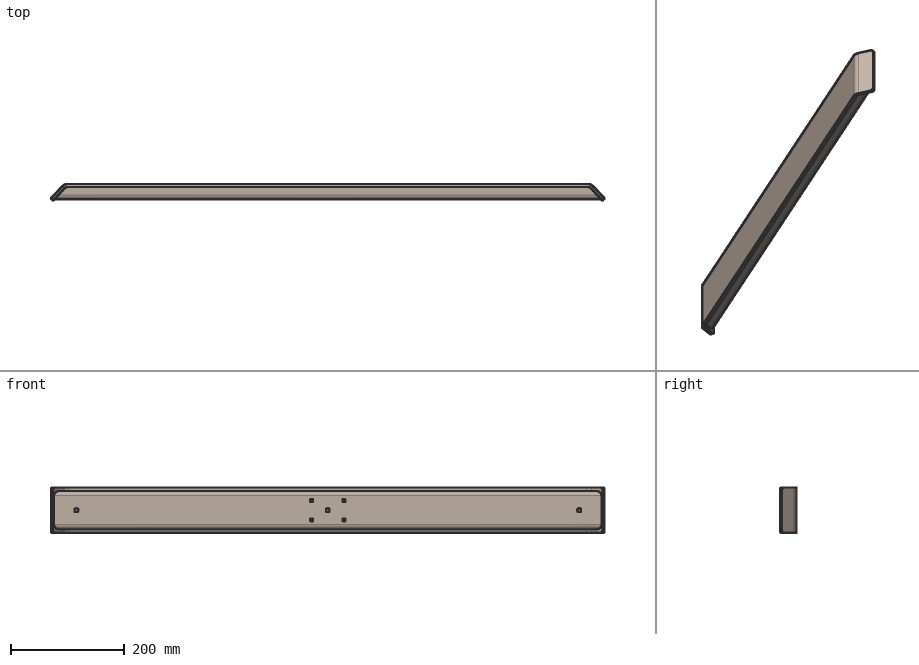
import cadquery as cq
import math

LENGTH = 975.0
DEPTH = 29.68
HEIGHT = 80.0

SHEET = 5.5
BEND_ANGLE = 47.0
BEND_INNER_RADIUS = 10.0
TIP_CORNER_RADIUS = 5.0

BAR_HEIGHT = 67.0
BAR_FRONT_FILLET = 8.0
TIP_OVERHANG = 2.1

END_HOLE_DIAMETER = 7.0
END_HOLE_SPACING = 885.0
CENTRE_HOLE_DIAMETER = 7.0
CORNER_HOLE_DIAMETER = 5.5
CORNER_HOLE_SPACING_X = 57.0
CORNER_HOLE_SPACING_Z = 34.0
HOLE_DEPTH = 10.0

back_y = DEPTH / 2
tip_y = -DEPTH / 2
plate_front_y = back_y - SHEET
bar_front_y = tip_y + TIP_OVERHANG

bend = math.radians(BEND_ANGLE)
outer_tip_x = LENGTH / 2
inner_tip_x = outer_tip_x - SHEET * math.sin(bend)
outer_tip_y = tip_y + SHEET * math.cos(bend)
outer_bend_x = outer_tip_x - (back_y - outer_tip_y) / math.tan(bend)
inner_bend_x = inner_tip_x - (plate_front_y - tip_y) / math.tan(bend)


def make_tray():
    """Plate with both ends bent forward, rounded at the bends and at the tip corners."""
    right_side = [
        (inner_bend_x, plate_front_y),
        (inner_tip_x, tip_y),
        (outer_tip_x, outer_tip_y),
        (outer_bend_x, back_y),
    ]
    left_side = [(-x, y) for x, y in reversed(right_side)]
    outline = cq.Workplane("XY").polyline(right_side + left_side).close()
    tray = outline.extrude(HEIGHT / 2, both=True)
    for side in (-1, 1):
        inner_bend = cq.selectors.NearestToPointSelector((side * inner_bend_x, plate_front_y, 0))
        tray = tray.edges("|Z").edges(inner_bend).fillet(BEND_INNER_RADIUS)
        outer_bend = cq.selectors.NearestToPointSelector((side * outer_bend_x, back_y, 0))
        tray = tray.edges("|Z").edges(outer_bend).fillet(BEND_INNER_RADIUS + SHEET)
        for end in (-1, 1):
            tip_centre = (
                side * (inner_tip_x + outer_tip_x) / 2,
                (tip_y + outer_tip_y) / 2,
                end * HEIGHT / 2,
            )
            tip_corner = cq.selectors.NearestToPointSelector(tip_centre)
            tray = tray.edges(tip_corner).fillet(TIP_CORNER_RADIUS)
    return tray


def make_bar():
    """Solid bar with rounded front edges, its ends mitred to lie against the bent flaps."""
    front_x = inner_bend_x + (plate_front_y - bar_front_y) / math.tan(bend)
    outline = [
        (-inner_bend_x, plate_front_y),
        (-front_x, bar_front_y),
        (front_x, bar_front_y),
        (inner_bend_x, plate_front_y),
    ]
    bar = cq.Workplane("XY").polyline(outline).close().extrude(BAR_HEIGHT / 2, both=True)
    return bar.faces("<Y").edges("|X").fillet(BAR_FRONT_FILLET)


def make_holes(diameter, centres):
    """Cylinders reaching HOLE_DEPTH into the bar from its front face."""
    front = cq.Workplane("XZ", origin=(0, bar_front_y, 0))
    return front.pushPoints(centres).circle(diameter / 2).extrude(-HOLE_DEPTH)


end_hole_centres = [(side * END_HOLE_SPACING / 2, 0) for side in (-1, 1)]
corner_hole_centres = [
    (side * CORNER_HOLE_SPACING_X / 2, end * CORNER_HOLE_SPACING_Z / 2)
    for side in (-1, 1)
    for end in (-1, 1)
]

result = (
    make_tray()
    .union(make_bar())
    .cut(make_holes(END_HOLE_DIAMETER, end_hole_centres))
    .cut(make_holes(CENTRE_HOLE_DIAMETER, [(0, 0)]))
    .cut(make_holes(CORNER_HOLE_DIAMETER, corner_hole_centres))
)